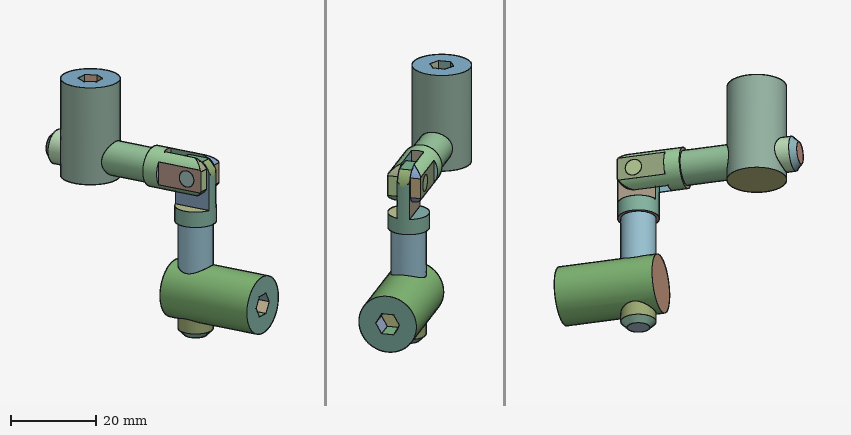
import cadquery as cq
import math

rod_diameter = 8.3
rod_end_chamfer = 1.5
rod_end_distance = 39.6

head_diameter = 9.8
head_back_distance = 11.5
head_tip_distance = 4.0
shoulder_distance = 7.7
fork_width = 8.0
fork_tip_radius = 4.7
tongue_tip_radius = head_diameter / 2
tongue_thickness = 3.0

barrel_diameter = 14.0
barrel_length = 24.0
barrel_distance = 29.0
barrel_bottom = -5.5

socket_width = 5.0
socket_depth = 5.0
socket_sides = 6
socket_corners = socket_width / math.cos(math.pi / socket_sides)

pin_diameter = 4.0


def cylinder_along_x(diameter, start, end):
    return cq.Workplane("YZ").workplane(offset=start).circle(diameter / 2).extrude(end - start)


def cylinder_along_y(diameter, length):
    return cq.Workplane("XZ").circle(diameter / 2).extrude(length / 2, both=True)


def hinge_slab(thickness):
    """Slab centred on Y = 0, covering the hinge end of a head from its shoulder outward."""
    slab_length = shoulder_distance + head_diameter
    return (
        cq.Workplane("XY")
        .box(slab_length, thickness, 2 * head_diameter, centered=(False, True, True))
        .translate((-shoulder_distance, 0, 0))
    )


def rod():
    return (
        cylinder_along_x(rod_diameter, -rod_end_distance, -head_back_distance)
        .faces("<X")
        .chamfer(rod_end_chamfer)
    )


def barrel():
    """Cross barrel along Z with a hexagon socket in its upper end."""
    body = (
        cq.Workplane("XY")
        .workplane(offset=barrel_bottom)
        .circle(barrel_diameter / 2)
        .extrude(barrel_length)
    )
    socket = (
        cq.Workplane("XY")
        .workplane(offset=barrel_bottom + barrel_length - socket_depth)
        .transformed(rotate=(0, 0, 90))
        .polygon(socket_sides, socket_corners)
        .extrude(socket_depth)
    )
    return body.cut(socket).translate((-barrel_distance, 0, 0))


def head(tip_radius):
    """Round head with its tip rounded about the hinge axis and bored for the pin."""
    collar = cylinder_along_x(head_diameter, -head_back_distance, -shoulder_distance)
    hinge_end = cylinder_along_x(head_diameter, -shoulder_distance, head_tip_distance)
    rounded_outline = cylinder_along_y(2 * tip_radius, head_diameter).union(
        cylinder_along_x(head_diameter, -shoulder_distance, 0)
    )
    pin_hole = cylinder_along_y(pin_diameter, head_diameter)
    return collar.union(hinge_end.intersect(rounded_outline)).cut(pin_hole)


def head_flanks(thickness):
    """Material of a head that lies outside a central slab of the given thickness."""
    return hinge_slab(2 * head_diameter).cut(hinge_slab(thickness))


def fork_arm():
    fork = head(fork_tip_radius).cut(head_flanks(fork_width)).cut(hinge_slab(tongue_thickness))
    return fork.union(rod()).union(barrel())


def tongue_arm():
    """Arm with a central tongue, turned to hang down with its barrel socket facing +X."""
    tongue = head(tongue_tip_radius).cut(head_flanks(tongue_thickness))
    arm = tongue.union(rod()).union(barrel())
    return arm.rotate((0, 0, 0), (1, 0, 1), 180)


def hinge_pin():
    return cylinder_along_y(pin_diameter, fork_width)


fork = fork_arm()
tongue = tongue_arm()
pin = hinge_pin()

result = cq.Compound.makeCompound([fork.val(), tongue.val(), pin.val()])